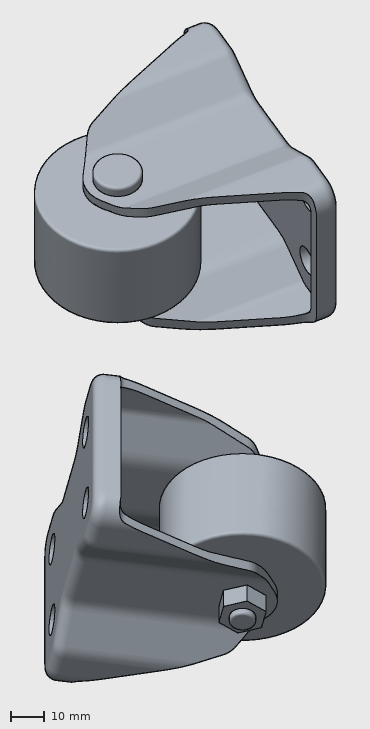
import cadquery as cq
import math


BRACKET_WIDTH = 85.0
BRACKET_HEIGHT = 58.0
WALL = 3.2
CORNER_RADIUS = 8.0
BACK_EDGE_RADIUS = 3.6
WAIST_HALF_HEIGHT = 21.25
OUTER_BEND_X = 24.9
WAIST_BEND_X = 11.0

AXLE_REACH = 53.0
RIM_DEPTH = 8.0
LEG_ROOT_HALF_WIDTH = 38.1
LEG_ELBOW_HALF_WIDTH = 18.95
TIP_RADIUS = 10.45
RIM_BLEND_RADIUS = 4.0
ELBOW_RADIUS = 7.5

HOLE_DIAMETER = 9.5
HOLE_SPACING_X = 55.0
HOLE_SPACING_Z = 28.0

WHEEL_DIAMETER = 50.0
WHEEL_WIDTH = 32.1
HUB_DIAMETER = 17.85
HEAD_DIAMETER = 15.0
HEAD_HEIGHT = 3.4
NUT_ACROSS_FLATS = 13.0
NUT_HEIGHT = 6.4
BOLT_DIAMETER = 8.0
BOLT_PROTRUSION = 2.1
EDGE_RADIUS = 1.0
BOLT_END_RADIUS = 0.85


def bracket_section():
    """Bow-tie wire of the bracket's outer section in XZ, with rounded corners and bends."""
    half_width = BRACKET_WIDTH / 2
    half_height = BRACKET_HEIGHT / 2
    right_top = [
        (WAIST_BEND_X, WAIST_HALF_HEIGHT),
        (OUTER_BEND_X, half_height),
        (half_width, half_height),
    ]
    right_side = right_top + [(x, -z) for x, z in reversed(right_top)]
    left_side = [(-x, -z) for x, z in right_side]
    outline = cq.Workplane("XZ").polyline(right_side + left_side).close().wire().val()
    return outline.fillet2D(CORNER_RADIUS, outline.Vertices())


def leg_trim():
    """Flat profile in XY that keeps the rim and the tapered legs, as a tall solid."""
    half_width = BRACKET_WIDTH / 2
    tip_angle = math.asin(TIP_RADIUS / LEG_ELBOW_HALF_WIDTH)
    tangent_x = TIP_RADIUS * math.sin(tip_angle)
    tangent_y = -AXLE_REACH - TIP_RADIUS * math.cos(tip_angle)
    profile = (
        cq.Workplane("XY")
        .moveTo(-half_width, 0)
        .lineTo(-half_width, -RIM_DEPTH)
        .lineTo(-LEG_ROOT_HALF_WIDTH, -RIM_DEPTH)
        .lineTo(-LEG_ELBOW_HALF_WIDTH, -AXLE_REACH)
        .lineTo(-tangent_x, tangent_y)
        .threePointArc((0, -AXLE_REACH - TIP_RADIUS), (tangent_x, tangent_y))
        .lineTo(LEG_ELBOW_HALF_WIDTH, -AXLE_REACH)
        .lineTo(LEG_ROOT_HALF_WIDTH, -RIM_DEPTH)
        .lineTo(half_width, -RIM_DEPTH)
        .lineTo(half_width, 0)
        .close()
        .extrude(BRACKET_HEIGHT / 2, both=True)
    )
    for corner_x, corner_y, radius in (
        (LEG_ROOT_HALF_WIDTH, -RIM_DEPTH, RIM_BLEND_RADIUS),
        (LEG_ELBOW_HALF_WIDTH, -AXLE_REACH, ELBOW_RADIUS),
    ):
        for side in (-1, 1):
            edge = cq.selectors.NearestToPointSelector((side * corner_x, corner_y, 0))
            profile = profile.edges("|Z").edges(edge).fillet(radius)
    return profile


def bracket():
    """Sheet-metal fork: a bow-tie shell open at the front, trimmed to its tapered legs."""
    section = bracket_section()
    leg_reach = AXLE_REACH + TIP_RADIUS
    body = cq.Workplane("XZ").add(section).toPending().extrude(leg_reach)
    body = body.faces(">Y").edges().fillet(BACK_EDGE_RADIUS)
    cavity = (
        cq.Workplane("XZ", origin=(0, -WALL, 0))
        .add(section.translate((0, -WALL, 0)))
        .toPending()
        .offset2D(-WALL)
        .extrude(leg_reach)
    )
    holes = (
        cq.Workplane("XZ")
        .rect(HOLE_SPACING_X, HOLE_SPACING_Z, forConstruction=True)
        .vertices()
        .circle(HOLE_DIAMETER / 2)
        .extrude(WALL)
    )
    return body.cut(cavity).intersect(leg_trim()).cut(holes)


def axle_disc(diameter, bottom, top):
    """Cylinder on the wheel axle between two heights."""
    return (
        cq.Workplane("XY", origin=(0, -AXLE_REACH, bottom))
        .circle(diameter / 2)
        .extrude(top - bottom)
    )


def wheel():
    """Rounded tread with a narrower hub that reaches both legs."""
    tread = axle_disc(WHEEL_DIAMETER, -WHEEL_WIDTH / 2, WHEEL_WIDTH / 2).edges().fillet(EDGE_RADIUS)
    hub_end = WAIST_HALF_HEIGHT - WALL
    return tread.union(axle_disc(HUB_DIAMETER, -hub_end, hub_end))


def axle_bolt():
    """Round bolt head on the top leg, shank through the wheel, hex nut under the bottom leg."""
    head_top = WAIST_HALF_HEIGHT + HEAD_HEIGHT
    nut_bottom = -WAIST_HALF_HEIGHT - NUT_HEIGHT
    head = axle_disc(HEAD_DIAMETER, WAIST_HALF_HEIGHT, head_top).faces(">Z").edges().fillet(EDGE_RADIUS)
    shank = axle_disc(BOLT_DIAMETER, nut_bottom - BOLT_PROTRUSION, WAIST_HALF_HEIGHT)
    shank = shank.faces("<Z").edges().fillet(BOLT_END_RADIUS)
    across_corners = 2 * NUT_ACROSS_FLATS / math.sqrt(3)
    nut = (
        cq.Workplane("XY", origin=(0, -AXLE_REACH, nut_bottom))
        .polygon(6, across_corners)
        .extrude(NUT_HEIGHT)
    )
    return head.union(shank).union(nut)


result = bracket().union(wheel()).union(axle_bolt())